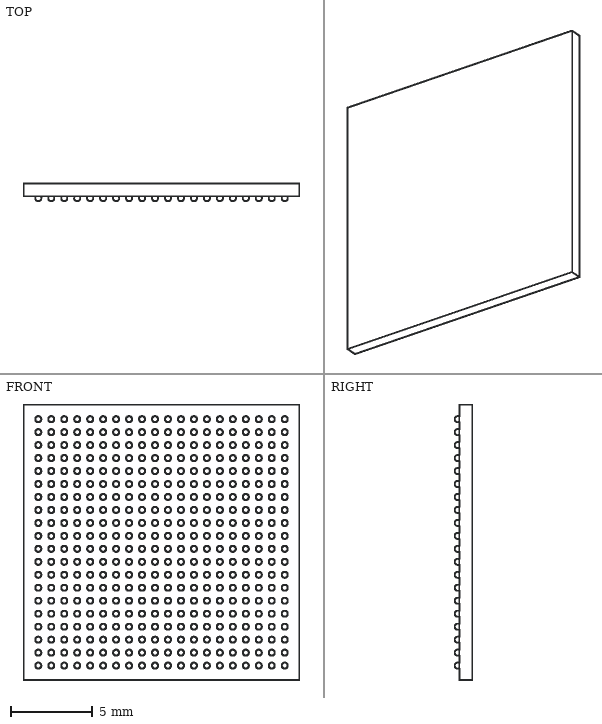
import cadquery as cq


body_side = 17.0
body_thickness = 0.8

balls_per_side = 20
ball_pitch = 0.8
ball_radius = 0.2
ball_center_standoff = 0.1

ball_center_y = -ball_center_standoff


def make_body():
    """Square plate centred on X and Z."""
    return cq.Workplane("XY").box(
        body_side, body_thickness, body_side, centered=(True, False, True)
    )


def make_balls():
    """Square grid of spheres, each partly sunk into the body."""
    return (
        cq.Workplane("XZ", origin=(0, ball_center_y, 0))
        .rarray(ball_pitch, ball_pitch, balls_per_side, balls_per_side)
        .sphere(ball_radius, combine=False)
    )


result = make_body().union(make_balls())